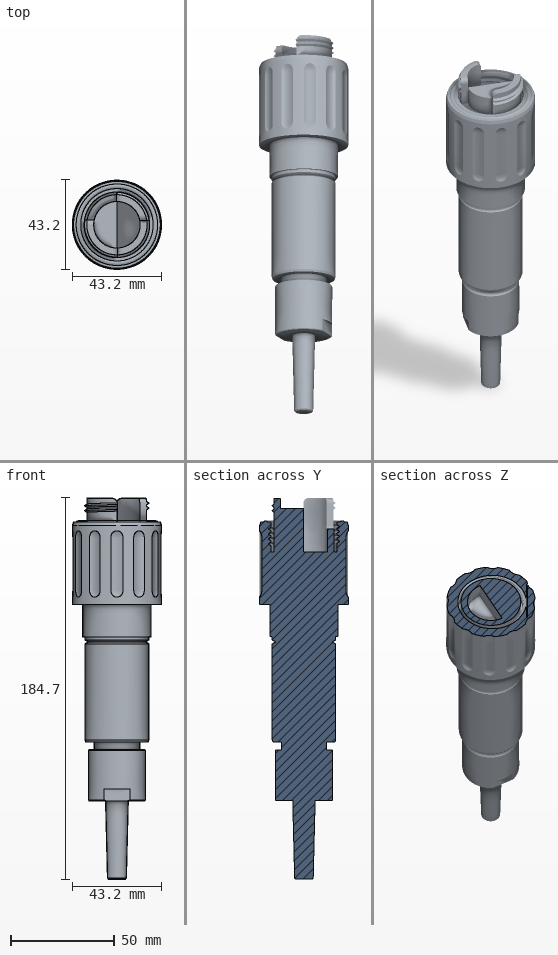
import cadquery as cq

total_height = 184.7
boot_top = 38.0
nut_top = 62.8
body_bottom = 66.5
groove_bottom = 114.2
groove_top = 116.0
collar_bottom = 117.5
ring_bottom = 133.2
ring_top = 173.3

boot_tip_radius = 4.6
boot_root_radius = 5.5
nut_radius = 13.9
neck_radius = 11.0
body_radius = 15.5
groove_radius = 13.9
collar_radius = 16.6
ring_radius = 21.6

boot_tip_chamfer = 0.5
nut_chamfer = 0.4
body_chamfer_radial = 0.4
body_chamfer_height = 1.1

flat_distance = 12.4
flat_height = 5.7

ring_bevel_radial = 0.5
ring_bevel_height = 1.7
bead_center_radius = 18.7
bead_half_width = 1.1
bead_height = 0.5
bore_radius = 15.9
bore_floor = 158.9

flute_count = 12
flute_half_width = 3.23
flute_depth = 1.1
flute_low_center = 140.0
flute_high_center = 165.7

tube_radius = 14.5
tube_bore_radius = 11.3
insert_top = 179.9
quadrant_floor = 170.0
wall_corner_radius = 2.5
wall_foot_radius = 1.1
right_gap_x = 0.2
right_gap_y = 2.0
left_gap_x = -0.2
left_gap_y = 2.4

thread_pitch = 2.4
thread_half_width = 1.1
thread_overlap = 0.4
thread_start_angle = 90
tube_thread_crest_radius = 15.7
tube_thread_bottom = 178.0
tube_thread_turns = 2.0
bore_thread_groove_radius = 17.2
bore_thread_bottom = 162.0
bore_thread_turns = 4.0


def turned_body():
    """Solid of revolution from the boot tip up to the ring's bore floor."""
    body_chamfer_top = body_bottom + body_chamfer_height
    groove_middle = (groove_bottom + groove_top) / 2
    profile = [
        (0, 0),
        (boot_tip_radius - boot_tip_chamfer, 0),
        (boot_tip_radius, boot_tip_chamfer),
        (boot_root_radius, boot_top),
        (nut_radius - nut_chamfer, boot_top),
        (nut_radius, boot_top + nut_chamfer),
        (nut_radius, nut_top - nut_chamfer),
        (nut_radius - nut_chamfer, nut_top),
        (neck_radius, nut_top),
        (neck_radius, body_bottom),
        (body_radius - body_chamfer_radial, body_bottom),
        (body_radius, body_chamfer_top),
        (body_radius, groove_bottom),
        (groove_radius, groove_middle),
        (body_radius, groove_top),
        (body_radius, collar_bottom),
        (collar_radius, collar_bottom),
        (collar_radius, ring_bottom),
        (ring_radius, ring_bottom),
        (ring_radius, bore_floor),
        (0, bore_floor),
    ]
    return cq.Workplane("XZ").polyline(profile).close().revolve(360, (0, 0), (0, 1))


def ring_rim():
    """Open upper part of the coupling ring, with its bead and threaded bore."""
    rim = (
        cq.Workplane("XZ")
        .moveTo(ring_radius, bore_floor)
        .lineTo(ring_radius, ring_top - ring_bevel_height)
        .lineTo(ring_radius - ring_bevel_radial, ring_top)
        .lineTo(bead_center_radius + bead_half_width, ring_top)
        .threePointArc(
            (bead_center_radius, ring_top + bead_height),
            (bead_center_radius - bead_half_width, ring_top),
        )
        .lineTo(bore_radius, ring_top)
        .lineTo(bore_radius, bore_floor)
        .close()
        .revolve(360, (0, 0), (0, 1))
    )
    root_radius = bore_radius - thread_overlap
    thread = thread_form(root_radius, bore_thread_groove_radius, bore_thread_bottom, bore_thread_turns)
    return rim.cut(thread)


def grip_flute(angle):
    """Cutter for one shallow round-ended flute at the given angle."""
    offset = (flute_half_width**2 - flute_depth**2) / (2 * flute_depth)
    cutter_radius = offset + flute_depth
    length = flute_high_center - flute_low_center
    groove = cq.Workplane("XY").circle(cutter_radius).extrude(length)
    for height in (0, length):
        groove = groove.union(cq.Workplane("XY").sphere(cutter_radius).translate((0, 0, height)))
    groove = groove.translate((ring_radius + offset, 0, flute_low_center))
    return groove.rotate((0, 0, 0), (0, 0, 1), angle)


def thread_form(root_radius, tip_radius, bottom, turns):
    """Right-handed helical wedge pointing outward: a thread ridge, or the cutter for a groove."""
    path = cq.Wire.makeHelix(thread_pitch, thread_pitch * turns, root_radius)
    wedge = (
        cq.Workplane("XZ")
        .polyline([(root_radius, -thread_half_width), (tip_radius, 0), (root_radius, thread_half_width)])
        .close()
        .sweep(cq.Workplane(path), isFrenet=True)
    )
    return wedge.rotate((0, 0, 0), (0, 0, 1), thread_start_angle).translate((0, 0, bottom))


def gap_profile(plane, side):
    """Slab of the wall gap beyond one wall end: rounded at the top corner and at the foot."""
    reach = 2 * tube_radius
    return (
        cq.Workplane(plane)
        .moveTo(side * wall_foot_radius, quadrant_floor)
        .radiusArc((0, quadrant_floor + wall_foot_radius), side * wall_foot_radius)
        .lineTo(0, total_height - wall_corner_radius)
        .radiusArc((-side * wall_corner_radius, total_height), -side * wall_corner_radius)
        .lineTo(side * reach, total_height)
        .lineTo(side * reach, quadrant_floor)
        .close()
        .extrude(reach, both=True)
    )


def wall_gap(wall_x, wall_y, x_side):
    """Cutter for one quarter of the tube wall, on the given X side and the opposite Y side."""
    beyond_x = gap_profile("XZ", x_side).translate((wall_x, 0, 0))
    beyond_y = gap_profile("YZ", -x_side).translate((0, wall_y, 0))
    return beyond_x.intersect(beyond_y)


def mating_tube():
    """Threaded tube with two quarter walls left standing."""
    wall_height = total_height - quadrant_floor
    tube = cq.Workplane("XY").circle(tube_radius).circle(tube_bore_radius).extrude(wall_height)
    tube = tube.translate((0, 0, quadrant_floor))
    root_radius = tube_radius - thread_overlap
    thread = thread_form(root_radius, tube_thread_crest_radius, tube_thread_bottom, tube_thread_turns)
    tube = tube.union(thread)
    tube = tube.cut(wall_gap(right_gap_x, right_gap_y, 1))
    return tube.cut(wall_gap(left_gap_x, left_gap_y, -1))


def contact_insert():
    """Tube base under the quarter walls, with the half-round insert on its -X side."""
    floor = cq.Workplane("XY").workplane(offset=bore_floor)
    base = floor.circle(tube_radius).circle(tube_bore_radius).extrude(quadrant_floor - bore_floor)
    half_round = (
        floor.moveTo(0, tube_bore_radius)
        .threePointArc((-tube_bore_radius, 0), (0, -tube_bore_radius))
        .close()
        .extrude(insert_top - bore_floor)
    )
    return base.union(half_round)


def wrench_flats():
    """Two cutters that leave flats on the -Y and +Y sides of the nut's lower edge."""
    width = 2 * nut_radius
    depth = nut_radius - flat_distance
    cutters = cq.Workplane("XY")
    for side in (-1, 1):
        block = cq.Workplane("XY").box(width, depth, flat_height, centered=(True, True, False))
        cutters.add(block.translate((0, side * (flat_distance + depth / 2), boot_top)))
    return cutters.combine()


shell = turned_body().union(ring_rim()).cut(wrench_flats())
for flute in range(flute_count):
    shell = shell.cut(grip_flute(flute * 360 / flute_count))

result = shell.union(contact_insert()).union(mating_tube())